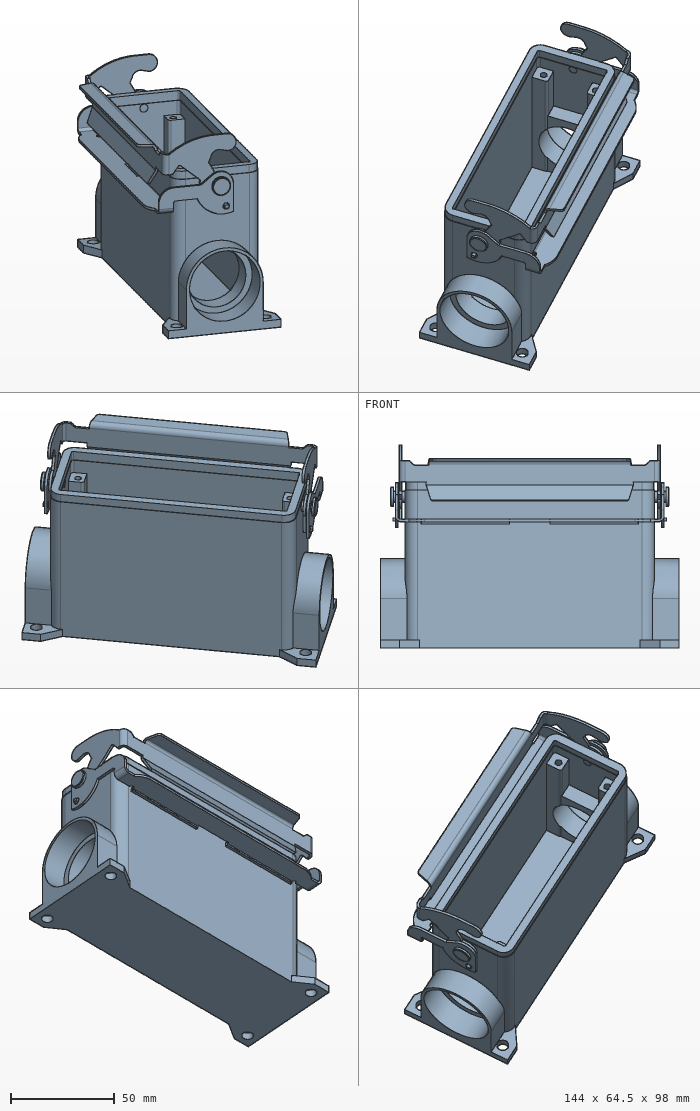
import cadquery as cq
import math

SIDES = (-1, 1)

LENGTH = 144.0
BASE_DEPTH = 57.0
FOOT_HEIGHT = 4.0
FOOT_FLAT = 9.2
FOOT_SLANT_END = 53.1
FOOT_HOLE_DIA = 5.6
FOOT_HOLE_X = 66.0
FOOT_HOLE_Y = 22.5

BODY_LENGTH = 120.4
BODY_DEPTH = 44.4
BODY_RADIUS = 6.0
HOUSING_TOP = 80.2
BAND_HEIGHT = 4.0
BAND_INSET = 0.3

MOUTH_LENGTH = 111.7
MOUTH_DEPTH = 36.0
MOUTH_RADIUS = 0.9
MOUTH_HEIGHT = 4.9
CAVITY_RELIEF = 0.3
CAVITY_RADIUS = 1.5
FLOOR = 4.0

ENTRY_Z = 23.9
ENTRY_RADIUS = 19.5
BORE_RADIUS = 17.9
BORE_DEPTH = 12.7
THROUGH_RADIUS = 14.7
BLOCK_INNER_X = 49.0
BLOCK_OVERLAP = 0.9

POST_LENGTH = 7.3
POST_DEPTH = 7.9
POST_TOP = 68.1
POST_EDGE_RADIUS = 1.3
SCREW_HOLE_DIA = 3.2
SCREW_HOLE_X = 52.0
SCREW_HOLE_Y = 13.5
SCREW_HOLE_DEPTH = 14.4

SHEET = 1.3
BEND_RADIUS = 2.7
PIVOT_Z = 73.0

YOKE_HALF = 63.0
YOKE_BACK = -28.1
YOKE_BACK_BOTTOM = 80.2
YOKE_BACK_TOP = 90.5
HOOK_RADIUS = 4.3
HOOK_Y = 4.3
HOOK_TOP = 98.0
PIVOT_DISK_RADIUS = 5.8
BACK_CURVE_Y = -4.2
BACK_CURVE_MIDDLE = (-15.3, 95.9)
VEE_FRONT_Y = -23.6
VEE_Y = -20.0
VEE_Z = 84.4
VEE_TIP_HALF = 0.5
VEE_TIP_DROP = 0.1
VEE_REAR = (-9.4, 75.7)
NECK_REAR = (-2.9, 80.6)
NECK_WAIST = (-5.3, 84.7)
THROAT_START = (-4.2, 87.1)
THROAT_MIDDLE = (-2.5, 89.9)
THROAT_END = (0.5, 90.5)

LIP_TOP = 91.5
LIP_EDGE = -36.0
LIP_WIDE = 49.0
LIP_NARROW = 46.4
NOTCH_Z = 88.3
NOTCH_X = 55.7
NOTCH_X_TOP = 58.0
FLAP_TIP_Y = -31.5
FLAP_TIP_Z = 71.4
FLAP_BEND_Z = 78.6
FLAP_WIDE = 50.0
FLAP_NARROW = 47.5
TIP_CORNER = 1.7

BAIL_HALF = 64.8
BAIL_BOTTOM = 60.9
BAIL_REAR_Y = 6.8
BAIL_FOOT_Z = 59.0
LOBE_FRONT_Y = -11.5
LOBE_MIDDLE = (-6.0, 60.5)
ARM_TOP = 74.0
ARM_START_Y = -9.8
ARM_BOTTOM = 67.2
ARM_BACK_Y = -23.6
ARM_FRONT_Y = -31.0
ARM_CURVE = 7.3
FLANGE_EDGE = -34.4
FLANGE_NARROW = 50.8
FLANGE_WIDE = 58.2
FLANGE_MID_X = 54.7
FLANGE_MID_Y = -33.4
EDGE_BACK_Y = -22.3
EDGE_BOTTOM = 59.9
ARM_CORNER = 0.7
EDGE_BEND_RADIUS = 1.2
EDGE_END_X = 52.4
GAP_HALF = 9.6
GAP_FRONT_Y = -24.5
RELIEF_X = 53.4
RELIEF_RADIUS = 1.2

STOP_Y = 3.0
STOP_Z = 62.0
STOP_WIDTH = 2.0
STOP_HEIGHT = 1.6
STOP_TIP_X = 66.0
STOP_HOLE_RADIUS = 1.6
STOP_LEG_WIDTH = 4.3
STOP_LEG_BOTTOM = 61.0

RIVET_RADIUS = 2.7
RIVET_PIN_RADIUS = 2.0
RIVET_HEAD_RADIUS = 4.6
RIVET_HEAD_X = 65.7
RIVET_TIP_X = 67.2
RIVET_HEAD_CHAMFER = 0.5


def span_box(x_range, y_range, z_range):
    """Box given by its lower and upper limits on each axis."""
    (x0, x1), (y0, y1), (z0, z1) = x_range, y_range, z_range
    return cq.Workplane("XY").box(x1 - x0, y1 - y0, z1 - z0, centered=False).translate((x0, y0, z0))


def rounded_block(length, depth, radius, bottom, top):
    """Centred upright block with rounded vertical edges."""
    block = cq.Workplane("XY").workplane(offset=bottom).rect(length, depth).extrude(top - bottom)
    return block.edges("|Z").fillet(radius)


def x_cylinder(y, z, radius, x_start, x_end):
    """Cylinder along X between two X positions."""
    low = min(x_start, x_end)
    high = max(x_start, x_end)
    return cq.Workplane("YZ").workplane(offset=low).center(y, z).circle(radius).extrude(high - low)


def x_slab(outline, half):
    """Extrude a YZ outline symmetrically along X to +-half."""
    return outline.extrude(half, both=True)


def foot(side):
    """Mounting foot at one end, with slanted edges running into the long walls."""
    end_x = side * LENGTH / 2
    flat_x = side * (LENGTH / 2 - FOOT_FLAT)
    slant_x = side * FOOT_SLANT_END
    foot_y = BASE_DEPTH / 2
    wall_y = BODY_DEPTH / 2
    outline = [
        (end_x, foot_y), (flat_x, foot_y), (slant_x, wall_y),
        (slant_x, -wall_y), (flat_x, -foot_y), (end_x, -foot_y),
    ]
    return cq.Workplane("XY").polyline(outline).close().extrude(FOOT_HEIGHT)


def entry_block(x_start, x_end):
    """Round-topped block around a cable entry."""
    low = min(x_start, x_end)
    outline = (
        cq.Workplane("YZ").workplane(offset=low)
        .moveTo(-ENTRY_RADIUS, 0).lineTo(-ENTRY_RADIUS, ENTRY_Z)
        .threePointArc((0, ENTRY_Z + ENTRY_RADIUS), (ENTRY_RADIUS, ENTRY_Z))
        .lineTo(ENTRY_RADIUS, 0).close()
    )
    return outline.extrude(abs(x_end - x_start))


def inner_block(side):
    """Flat-topped block at one end of the cavity that carries the cable entry inwards."""
    block_x = sorted((side * BLOCK_INNER_X, side * (BODY_LENGTH / 2 - BLOCK_OVERLAP)))
    half_depth = MOUTH_DEPTH / 2 + CAVITY_RELIEF + BLOCK_OVERLAP
    return span_box(block_x, (-half_depth, half_depth), (0, ENTRY_Z + ENTRY_RADIUS))


def cavity():
    """Inside of the housing: the mouth and the slightly wider space below it."""
    mouth_bottom = HOUSING_TOP - MOUTH_HEIGHT
    mouth = rounded_block(MOUTH_LENGTH, MOUTH_DEPTH, MOUTH_RADIUS, mouth_bottom, HOUSING_TOP)
    length = MOUTH_LENGTH + 2 * CAVITY_RELIEF
    depth = MOUTH_DEPTH + 2 * CAVITY_RELIEF
    return mouth.union(rounded_block(length, depth, CAVITY_RADIUS, FLOOR, mouth_bottom))


def screw_post(x_side, y_side):
    """Square post in one cavity corner, with its free edge rounded."""
    wall_x = MOUTH_LENGTH / 2 + CAVITY_RELIEF
    wall_y = MOUTH_DEPTH / 2 + CAVITY_RELIEF
    inner_x = MOUTH_LENGTH / 2 - POST_LENGTH
    inner_y = MOUTH_DEPTH / 2 - POST_DEPTH
    post = span_box((inner_x, wall_x + BLOCK_OVERLAP), (inner_y, wall_y + BLOCK_OVERLAP), (FLOOR, POST_TOP))
    post = post.edges("|Z and <X and <Y").fillet(POST_EDGE_RADIUS)
    hole = (
        cq.Workplane("XY").workplane(offset=POST_TOP - SCREW_HOLE_DEPTH)
        .center(SCREW_HOLE_X, SCREW_HOLE_Y).circle(SCREW_HOLE_DIA / 2).extrude(SCREW_HOLE_DEPTH)
    )
    post = post.cut(hole)
    if x_side < 0:
        post = post.mirror("YZ")
    if y_side < 0:
        post = post.mirror("XZ")
    return post


def make_housing():
    band_bottom = HOUSING_TOP - BAND_HEIGHT
    body = rounded_block(BODY_LENGTH, BODY_DEPTH, BODY_RADIUS, 0, band_bottom)
    band = rounded_block(
        BODY_LENGTH - 2 * BAND_INSET, BODY_DEPTH - 2 * BAND_INSET,
        BODY_RADIUS - BAND_INSET, band_bottom, HOUSING_TOP,
    )
    body = body.union(band)
    for side in SIDES:
        body = body.union(foot(side))
        body = body.union(entry_block(side * (BODY_LENGTH / 2 - BODY_RADIUS), side * LENGTH / 2))
    body = body.cut(cavity())

    for side in SIDES:
        body = body.union(inner_block(side))
        for y_side in SIDES:
            body = body.union(screw_post(side, y_side))
    for side in SIDES:
        end_x = side * LENGTH / 2
        body = body.cut(x_cylinder(0, ENTRY_Z, BORE_RADIUS, end_x - side * BORE_DEPTH, end_x))
        body = body.cut(x_cylinder(0, ENTRY_Z, THROUGH_RADIUS, 0, end_x))
        body = body.cut(x_cylinder(0, PIVOT_Z, RIVET_PIN_RADIUS, side * MOUTH_LENGTH / 2, end_x))

    foot_holes = (
        cq.Workplane("XY")
        .rect(2 * FOOT_HOLE_X, 2 * FOOT_HOLE_Y, forConstruction=True).vertices()
        .circle(FOOT_HOLE_DIA / 2).extrude(FOOT_HEIGHT)
    )
    return body.cut(foot_holes)


def yoke_side_outline():
    """Hooked side of the yoke in YZ, from hook tip to back plate."""
    hook_z = HOOK_TOP - HOOK_RADIUS
    bend_y = YOKE_BACK + BEND_RADIUS
    return (
        cq.Workplane("YZ")
        .moveTo(HOOK_Y, HOOK_TOP).lineTo(BACK_CURVE_Y, HOOK_TOP)
        .threePointArc(BACK_CURVE_MIDDLE, (bend_y, YOKE_BACK_TOP))
        .lineTo(YOKE_BACK, YOKE_BACK_TOP).lineTo(YOKE_BACK, YOKE_BACK_BOTTOM)
        .lineTo(VEE_FRONT_Y, YOKE_BACK_BOTTOM)
        .lineTo(VEE_Y - VEE_TIP_HALF, VEE_Z - VEE_TIP_DROP)
        .threePointArc((VEE_Y, VEE_Z), (VEE_Y + VEE_TIP_HALF, VEE_Z - VEE_TIP_DROP))
        .lineTo(*VEE_REAR).lineTo(ARM_START_Y, ARM_TOP)
        .lineTo(-PIVOT_DISK_RADIUS / 2, PIVOT_Z - PIVOT_DISK_RADIUS / 2)
        .lineTo(0, PIVOT_Z)
        .lineTo(*NECK_REAR).lineTo(*NECK_WAIST).lineTo(*THROAT_START)
        .threePointArc(THROAT_MIDDLE, THROAT_END)
        .lineTo(HOOK_Y, hook_z - HOOK_RADIUS)
        .threePointArc((HOOK_Y + HOOK_RADIUS, hook_z), (HOOK_Y, HOOK_TOP)).close()
    )


def yoke_channel():
    """U-shaped bent strip, open to the rear, that the yoke outline is cut from."""
    rear = HOOK_Y + 2 * HOOK_RADIUS
    height = (STOP_LEG_BOTTOM - SHEET, HOOK_TOP + SHEET)
    outer = span_box((-YOKE_HALF, YOKE_HALF), (YOKE_BACK, rear), height)
    outer = outer.edges("|Z and <Y").fillet(BEND_RADIUS)
    inner_half = YOKE_HALF - SHEET
    inner = span_box((-inner_half, inner_half), (YOKE_BACK + SHEET, rear), height)
    inner = inner.edges("|Z and <Y").fillet(BEND_RADIUS - SHEET)
    return outer.cut(inner)


def trapezoid_prism(wide, narrow, wide_y, narrow_y, corner, bottom, top):
    """Upright prism, symmetric about X = 0, that narrows from wide_y to narrow_y."""
    outline = [(-wide, wide_y), (wide, wide_y), (narrow, narrow_y), (-narrow, narrow_y)]
    prism = cq.Workplane("XY").workplane(offset=bottom).polyline(outline).close().extrude(top - bottom)
    return prism.edges("|Z and <Y").fillet(corner)


def yoke_lip():
    """Grip lip bent forward from the top of the back plate."""
    inner_y = YOKE_BACK + SHEET
    outline = [
        (inner_y, NOTCH_Z), (inner_y, LIP_TOP), (LIP_EDGE, LIP_TOP),
        (LIP_EDGE, LIP_TOP - SHEET), (YOKE_BACK, LIP_TOP - SHEET), (YOKE_BACK, NOTCH_Z),
    ]
    strip = x_slab(cq.Workplane("YZ").polyline(outline).close(), LIP_WIDE)
    strip = strip.edges("|X and >Y and >Z").fillet(BEND_RADIUS)
    inner_bend = cq.selectors.NearestToPointSelector((0, YOKE_BACK, LIP_TOP - SHEET))
    strip = strip.edges(inner_bend).fillet(BEND_RADIUS - SHEET)
    plan = trapezoid_prism(
        LIP_WIDE, LIP_NARROW, inner_y, LIP_EDGE, TIP_CORNER, NOTCH_Z, LIP_TOP)
    return strip.intersect(plan)


def yoke_flap():
    """Flap hanging from the back plate and sloping forward."""
    inner_y = YOKE_BACK + SHEET
    slope = math.atan2(YOKE_BACK - FLAP_TIP_Y, FLAP_BEND_Z - FLAP_TIP_Z)
    step_y = SHEET * math.cos(slope)
    step_z = SHEET * math.sin(slope)
    outline = [
        (YOKE_BACK, YOKE_BACK_BOTTOM), (inner_y, YOKE_BACK_BOTTOM),
        (inner_y, FLAP_BEND_Z - step_z),
        (FLAP_TIP_Y + step_y, FLAP_TIP_Z - step_z),
        (FLAP_TIP_Y, FLAP_TIP_Z), (YOKE_BACK, FLAP_BEND_Z),
    ]
    strip = x_slab(cq.Workplane("YZ").polyline(outline).close(), FLAP_WIDE)
    bottom = FLAP_TIP_Z - step_z
    front = [
        (-FLAP_WIDE, YOKE_BACK_BOTTOM), (FLAP_WIDE, YOKE_BACK_BOTTOM), (FLAP_WIDE, FLAP_BEND_Z),
        (FLAP_NARROW, bottom), (-FLAP_NARROW, bottom), (-FLAP_WIDE, FLAP_BEND_Z),
    ]
    shape = cq.Workplane("XZ").polyline(front).close().extrude(-2 * FLAP_TIP_Y)
    return strip.intersect(shape.edges("|Y and <Z").fillet(TIP_CORNER))


def make_yoke():
    sides = x_slab(yoke_side_outline(), YOKE_HALF)
    sides = sides.union(x_cylinder(0, PIVOT_Z, PIVOT_DISK_RADIUS, -YOKE_HALF, YOKE_HALF))
    leg_y = (STOP_Y - STOP_LEG_WIDTH / 2, STOP_Y + STOP_LEG_WIDTH / 2)
    sides = sides.union(span_box((-YOKE_HALF, YOKE_HALF), leg_y, (STOP_LEG_BOTTOM, PIVOT_Z)))
    yoke = yoke_channel().intersect(sides)

    notch_outline = [
        (-NOTCH_X_TOP, YOKE_BACK_TOP), (-NOTCH_X, NOTCH_Z),
        (NOTCH_X, NOTCH_Z), (NOTCH_X_TOP, YOKE_BACK_TOP),
    ]
    notch = (
        cq.Workplane("XZ").workplane(offset=-YOKE_BACK - SHEET)
        .polyline(notch_outline).close().extrude(SHEET)
    )
    yoke = yoke.cut(notch).union(yoke_lip()).union(yoke_flap())

    for side in SIDES:
        tab_x = sorted((side * (YOKE_HALF - SHEET), side * STOP_TIP_X))
        tab = span_box(
            tab_x,
            (STOP_Y - STOP_WIDTH / 2, STOP_Y + STOP_WIDTH / 2),
            (STOP_Z - STOP_HEIGHT / 2, STOP_Z + STOP_HEIGHT / 2),
        )
        yoke = yoke.union(tab)
    return yoke


def bail_side_outline():
    """Side of the bail in YZ: round head, rounded lower lobe and arm turned down."""
    shoulder = BAIL_REAR_Y * math.sin(math.radians(45))
    bend_z = BAIL_BOTTOM + BEND_RADIUS
    curve_mid = ARM_CURVE * (1 - math.sin(math.radians(45)))
    return (
        cq.Workplane("YZ")
        .moveTo(BAIL_REAR_Y, PIVOT_Z)
        .threePointArc((0, PIVOT_Z + BAIL_REAR_Y), (-shoulder, PIVOT_Z + shoulder))
        .lineTo(ARM_START_Y, ARM_TOP)
        .lineTo(ARM_FRONT_Y + ARM_CURVE, ARM_TOP)
        .threePointArc((ARM_FRONT_Y + curve_mid, ARM_TOP - curve_mid), (ARM_FRONT_Y, ARM_TOP - ARM_CURVE))
        .lineTo(ARM_FRONT_Y, bend_z).lineTo(ARM_BACK_Y, bend_z)
        .lineTo(ARM_BACK_Y, ARM_BOTTOM - ARM_CORNER).lineTo(ARM_BACK_Y + ARM_CORNER, ARM_BOTTOM)
        .lineTo(LOBE_FRONT_Y, ARM_BOTTOM)
        .threePointArc(LOBE_MIDDLE, (BAIL_REAR_Y, BAIL_FOOT_Z)).close()
    )


def bail_cross_piece():
    """Flat cross strip joining the two arms, bent up at both ends."""
    depth = (ARM_FRONT_Y, ARM_BACK_Y)
    top = ARM_BOTTOM - SHEET
    outer = span_box((-BAIL_HALF, BAIL_HALF), depth, (BAIL_BOTTOM, top))
    outer = outer.edges("|Y and <Z").fillet(BEND_RADIUS)
    inner_half = BAIL_HALF - SHEET
    inner = span_box((-inner_half, inner_half), depth, (BAIL_BOTTOM + SHEET, top))
    return outer.cut(inner.edges("|Y and <Z").fillet(BEND_RADIUS - SHEET))


def bail_flange():
    """Front flange of the cross strip, with rounded shoulders at both ends."""
    outline = (
        cq.Workplane("XY").workplane(offset=BAIL_BOTTOM)
        .moveTo(-FLANGE_WIDE, ARM_FRONT_Y)
        .threePointArc((-FLANGE_MID_X, FLANGE_MID_Y), (-FLANGE_NARROW, FLANGE_EDGE))
        .lineTo(FLANGE_NARROW, FLANGE_EDGE)
        .threePointArc((FLANGE_MID_X, FLANGE_MID_Y), (FLANGE_WIDE, ARM_FRONT_Y)).close()
    )
    return outline.extrude(SHEET)


def bail_back_edge():
    """Turned-down edge behind the cross strip."""
    edge = span_box(
        (-EDGE_END_X, EDGE_END_X), (ARM_BACK_Y, EDGE_BACK_Y), (EDGE_BOTTOM, BAIL_BOTTOM + SHEET))
    return edge.edges("|X and >Y and >Z").fillet(EDGE_BEND_RADIUS)


def make_bail():
    inner_half = BAIL_HALF - SHEET
    solid_side = x_slab(bail_side_outline(), BAIL_HALF)
    between = span_box(
        (-inner_half, inner_half), (ARM_FRONT_Y, BAIL_REAR_Y), (BAIL_FOOT_Z - BEND_RADIUS, HOUSING_TOP))
    bail = solid_side.cut(between)
    bail = bail.cut(x_cylinder(STOP_Y, STOP_Z, STOP_HOLE_RADIUS, -BAIL_HALF, BAIL_HALF))
    bail = bail.union(bail_cross_piece()).union(bail_flange()).union(bail_back_edge())

    plate_z = (EDGE_BOTTOM, BAIL_BOTTOM + SHEET)
    bail = bail.cut(span_box((-GAP_HALF, GAP_HALF), (GAP_FRONT_Y, EDGE_BACK_Y), plate_z))
    for side in SIDES:
        relief = cq.Workplane("XY").workplane(offset=EDGE_BOTTOM).center(side * RELIEF_X, ARM_BACK_Y)
        bail = bail.cut(relief.circle(RELIEF_RADIUS).extrude(BAIL_BOTTOM + SHEET - EDGE_BOTTOM))
    return bail


def rivet(side):
    """Headed rivet through bail and yoke, with a reduced end in the housing wall."""
    wall_inner = side * (MOUTH_LENGTH / 2 + CAVITY_RELIEF)
    pin = x_cylinder(0, PIVOT_Z, RIVET_PIN_RADIUS, wall_inner, side * RIVET_TIP_X)
    shaft = x_cylinder(0, PIVOT_Z, RIVET_RADIUS, side * BODY_LENGTH / 2, side * RIVET_TIP_X)
    head = x_cylinder(0, PIVOT_Z, RIVET_HEAD_RADIUS, side * RIVET_HEAD_X, side * RIVET_TIP_X)
    outer_face = ">X" if side > 0 else "<X"
    head = head.faces(outer_face).edges().chamfer(RIVET_HEAD_CHAMFER)
    return pin.union(shaft).union(head)


def make_lever():
    """Yoke and bail held together as one piece by their two rivets."""
    lever = make_yoke().union(make_bail())
    for side in SIDES:
        lever = lever.union(rivet(side))
    return lever


housing = make_housing()
lever = make_lever()

result = cq.Compound.makeCompound([*housing.solids().vals(), *lever.solids().vals()])